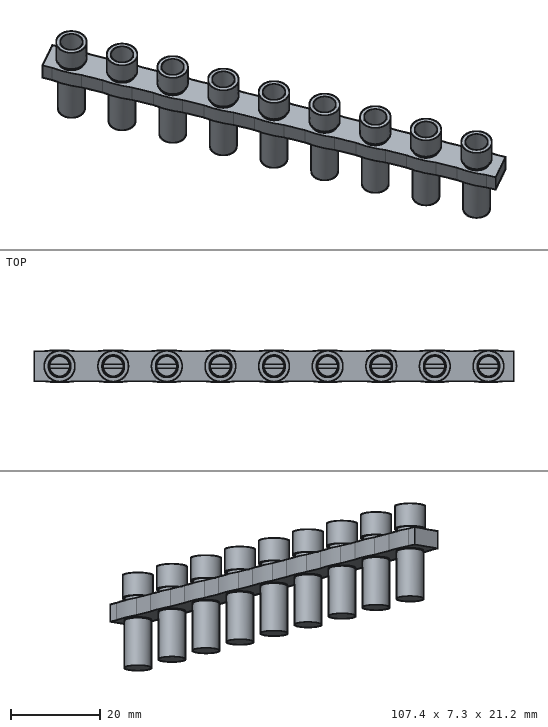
import cadquery as cq

strip_length = 107.4
strip_width = 6.8
strip_thickness = 4.0

terminal_count = 9
end_inset = 5.7
pitch = (strip_length - 2 * end_inset) / (terminal_count - 1)

swell_width = 7.3
swell_length = 7.0

tube_length = 10.8
relief_height = 0.2
neck_height = 1.0
cap_height = 5.2
tube_diameter = 6.1
neck_diameter = 5.9
cap_diameter = 6.9

bore_diameter = 5.0
bore_depth = cap_height + neck_height
screw_diameter = 4.5
screw_head_height = neck_height
slot_width = 1.0
slot_depth = 0.6

strip_bottom = tube_length + relief_height
strip_top = strip_bottom + strip_thickness
cap_bottom = strip_top + neck_height
total_height = cap_bottom + cap_height
bore_floor = total_height - bore_depth
screw_top = bore_floor + screw_head_height

terminal_xs = [-strip_length / 2 + end_inset + i * pitch for i in range(terminal_count)]


def cylinder(x, diameter, bottom, height):
    """Upright cylinder centred on the strip's long axis."""
    return cq.Workplane("XY", origin=(x, 0, bottom)).circle(diameter / 2).extrude(height)


def make_strip():
    """Flat strip whose two long sides bow outwards at every terminal."""
    half_length = strip_length / 2
    half_width = strip_width / 2
    half_swell = swell_length / 2
    outline = cq.Workplane("XY", origin=(0, 0, strip_bottom)).moveTo(-half_length, -half_width)
    for x in terminal_xs:
        outline = outline.lineTo(x - half_swell, -half_width)
        outline = outline.threePointArc((x, -swell_width / 2), (x + half_swell, -half_width))
    outline = outline.lineTo(half_length, -half_width).lineTo(half_length, half_width)
    for x in reversed(terminal_xs):
        outline = outline.lineTo(x + half_swell, half_width)
        outline = outline.threePointArc((x, swell_width / 2), (x - half_swell, half_width))
    outline = outline.lineTo(-half_length, half_width).close()
    return outline.extrude(strip_thickness)


def make_post(x):
    """Tube and its relief below the strip, then neck and bored cap above it."""
    tube = cylinder(x, tube_diameter, 0, tube_length)
    relief = cylinder(x, neck_diameter, tube_length, relief_height)
    neck = cylinder(x, neck_diameter, strip_top, neck_height)
    cap = cylinder(x, cap_diameter, cap_bottom, cap_height)
    bore = cylinder(x, bore_diameter, bore_floor, bore_depth)
    return tube.union(relief), neck.union(cap).cut(bore)


def make_screw_head(x):
    """Round screw head with a straight slot along X."""
    head = cylinder(x, screw_diameter, bore_floor, screw_head_height)
    slot = (
        cq.Workplane("XY", origin=(x, 0, screw_top - slot_depth))
        .rect(screw_diameter, slot_width)
        .extrude(slot_depth)
    )
    return head.cut(slot)


result = make_strip()
for terminal_x in terminal_xs:
    lower_tube, socket = make_post(terminal_x)
    result = result.union(lower_tube).union(socket).union(make_screw_head(terminal_x))